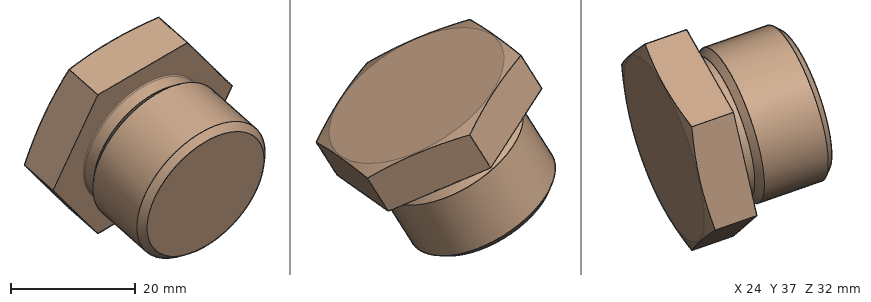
import cadquery as cq
import math

across_corners = 36.95
head_length = 8.0
face_diameter = 31.55
head_chamfer_angle = 15.0

overall_length = 24.0
barrel_diameter = 26.45
groove_diameter = 24.13
groove_length = 2.48
root_fillet = 0.2

corner_radius = across_corners / 2
face_radius = face_diameter / 2
barrel_radius = barrel_diameter / 2
groove_radius = groove_diameter / 2
barrel_chamfer = barrel_radius - groove_radius
groove_end = head_length + groove_length


def make_head():
    """Hexagonal prism whose outer corners are trimmed by a shallow cone at the free face."""
    prism = cq.Workplane("YZ").polygon(6, across_corners).extrude(head_length)
    chamfer_depth = (corner_radius - face_radius) * math.tan(math.radians(head_chamfer_angle))
    cone_envelope = (
        cq.Workplane("XY")
        .polyline([
            (0, 0),
            (0, face_radius),
            (chamfer_depth, corner_radius),
            (head_length, corner_radius),
            (head_length, 0),
        ])
        .close()
        .revolve(360, (0, 0, 0), (1, 0, 0))
    )
    return prism.intersect(cone_envelope)


def make_shank():
    """Groove and barrel turned about the X axis, with both barrel ends chamfered."""
    fillet_offset = root_fillet * (1 - math.sqrt(0.5))
    return (
        cq.Workplane("XY")
        .moveTo(head_length, 0)
        .lineTo(head_length, groove_radius + root_fillet)
        .threePointArc(
            (head_length + fillet_offset, groove_radius + fillet_offset),
            (head_length + root_fillet, groove_radius),
        )
        .lineTo(groove_end, groove_radius)
        .lineTo(groove_end + barrel_chamfer, barrel_radius)
        .lineTo(overall_length - barrel_chamfer, barrel_radius)
        .lineTo(overall_length, groove_radius)
        .lineTo(overall_length, 0)
        .close()
        .revolve(360, (0, 0, 0), (1, 0, 0))
    )


result = make_head().union(make_shank())